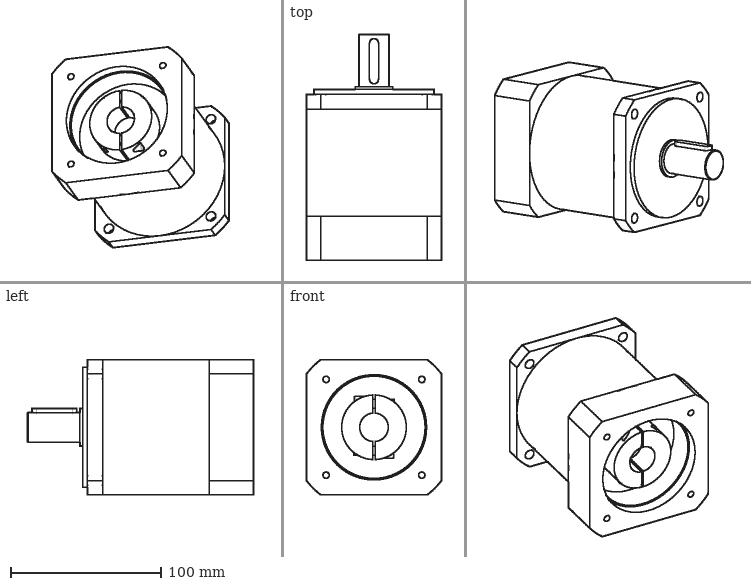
import cadquery as cq
import math


square_side = 90.0
corner_diameter = 114.6
body_diameter = 90.0
flange_thickness = 10.0
body_length = 71.0
adapter_length = 29.5
adapter_back = -(flange_thickness + body_length)
motor_face = adapter_back - adapter_length

pilot_diameter = 80.0
pilot_height = 3.2
flange_hole_diameter = 6.5
flange_hole_circle = 100.0

motor_pilot_diameter = 70.0
motor_pilot_depth = 8.0
cavity_diameter = 68.0
cavity_depth = 27.5
motor_hole_diameter = 4.2
motor_hole_circle = 90.0
motor_hole_depth = 12.0
drill_tip_angle = 118.0

shoulder_diameter = 25.0
shoulder_end = 5.0
shaft_diameter = 20.0
shaft_end = 40.0
shaft_chamfer = 0.5

key_width = 6.0
key_height = 6.0
key_length = 30.0
key_end_gap = 3.0
key_top = 12.5

hub_diameter = 43.0
hub_setback = 9.0
hub_bore_diameter = 19.0
hub_slit_width = 1.4

screw_diameter = 6.0
screw_head_diameter = 10.0
screw_head_length = 6.0
screw_head_rounding = 0.5
screw_head_reach = 13.0
screw_tip_reach = 13.3
screw_offset = 15.5
screw_setback = 7.0


def cylinder(diameter, start, end):
    """Cylinder on the gearbox axis between two Y positions."""
    return (
        cq.Workplane("XZ", origin=(0, start, 0))
        .circle(diameter / 2)
        .extrude(start - end)
    )


def square_section(start, end):
    """Square block between two Y positions, its corners trimmed to a round."""
    block = (
        cq.Workplane("XZ", origin=(0, start, 0))
        .rect(square_side, square_side)
        .extrude(start - end)
    )
    return block.intersect(cylinder(corner_diameter, start, end))


def hole_corners(circle_diameter):
    """Four points at 45 degrees on a bolt circle, as (x, z)."""
    offset = circle_diameter / 2 * math.sqrt(0.5)
    return [(x, z) for x in (-offset, offset) for z in (-offset, offset)]


def flange_holes():
    return (
        cq.Workplane("XZ")
        .pushPoints(hole_corners(flange_hole_circle))
        .circle(flange_hole_diameter / 2)
        .extrude(flange_thickness)
    )


def motor_hole(x, z):
    """Blind hole with a conical drill tip, entering from the motor face."""
    radius = motor_hole_diameter / 2
    tip_length = radius / math.tan(math.radians(drill_tip_angle / 2))
    return (
        cq.Workplane("XY")
        .polyline([
            (0, 0),
            (radius, 0),
            (radius, motor_hole_depth),
            (0, motor_hole_depth + tip_length),
        ])
        .close()
        .revolve(360, (0, 0, 0), (0, 1, 0))
        .translate((x, motor_face, z))
    )


def clamping_screw(side):
    """Cap screw across the slit; side is +1 above the bore and -1 below it."""
    head_inner = screw_head_reach - screw_head_length
    axis_y = motor_face + hub_setback + screw_setback
    head = (
        cq.Workplane("YZ", origin=(-screw_head_reach, 0, 0))
        .circle(screw_head_diameter / 2)
        .extrude(screw_head_length)
        .faces("<X")
        .edges()
        .fillet(screw_head_rounding)
    )
    shank = (
        cq.Workplane("YZ", origin=(-head_inner, 0, 0))
        .circle(screw_diameter / 2)
        .extrude(head_inner + screw_tip_reach)
    )
    screw = head.union(shank).translate((0, axis_y, screw_offset))
    if side < 0:
        screw = screw.rotate((0, 0, 0), (0, 1, 0), 180)
    return screw


def clamping_hub():
    """Slit hub standing on the cavity floor, with its two screws."""
    hub_face = motor_face + hub_setback
    hub_root = motor_face + cavity_depth
    slit = (
        cq.Workplane("XY")
        .box(hub_slit_width, hub_root - hub_face, hub_diameter, centered=(True, False, True))
        .translate((0, hub_face, 0))
    )
    hub = cylinder(hub_diameter, hub_face, hub_root).cut(slit)
    for side in (1, -1):
        hub = hub.union(clamping_screw(side))
    return hub.cut(cylinder(hub_bore_diameter, hub_face, hub_root))


def output_shaft():
    shoulder = cylinder(shoulder_diameter, 0, shoulder_end)
    shaft = cylinder(shaft_diameter, 0, shaft_end).faces(">Y").chamfer(shaft_chamfer)
    return shoulder.union(shaft)


def make_key():
    key_middle = shaft_end - key_end_gap - key_length / 2
    return (
        cq.Workplane("XY", origin=(0, key_middle, key_top - key_height))
        .slot2D(key_length, key_width, 90)
        .extrude(key_height)
    )


def make_gearbox():
    gearbox = (
        square_section(motor_face, adapter_back)
        .union(cylinder(body_diameter, adapter_back, -flange_thickness))
        .union(square_section(-flange_thickness, 0))
        .union(cylinder(pilot_diameter, 0, pilot_height))
        .union(output_shaft())
        .cut(flange_holes())
        .cut(cylinder(motor_pilot_diameter, motor_face, motor_face + motor_pilot_depth))
        .cut(cylinder(cavity_diameter, motor_face, motor_face + cavity_depth))
    )
    for x, z in hole_corners(motor_hole_circle):
        gearbox = gearbox.cut(motor_hole(x, z))
    return gearbox.union(clamping_hub())


key = make_key()
gearbox = make_gearbox().cut(key)

result = cq.Compound.makeCompound([gearbox.val(), key.val()])